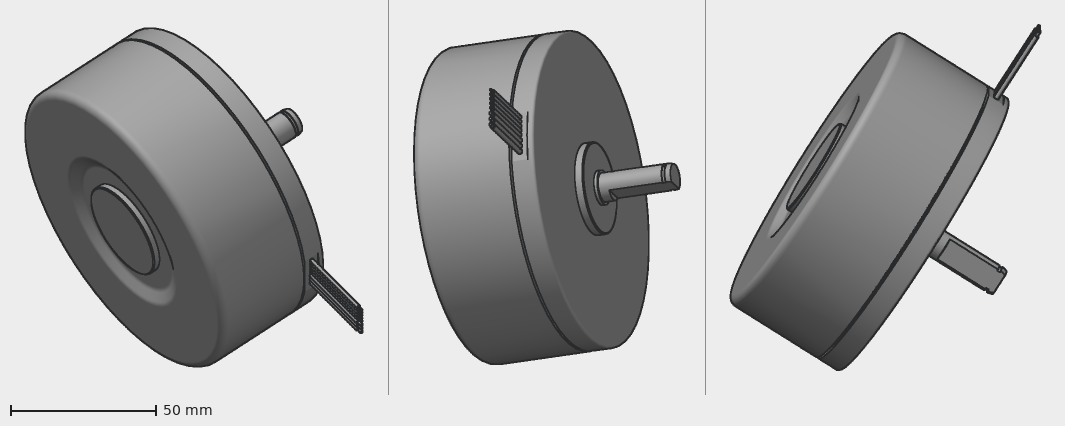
import cadquery as cq
import math


overall_width = 137.5

housing_radius = 55.3
housing_length = 45.1
front_fillet = 2.9
back_fillet = 1.0
split_start = 36.0
split_end = 36.8
split_depth = 2.9

recess_mouth_radius = 29.3
recess_floor_radius = 24.9
recess_depth = 2.6
recess_blend = 3.0
disc_radius = 17.5
disc_chamfer = 0.4

pilot_radius = 16.1
pilot_end = 48.3
pilot_chamfer = 0.4
collar_radius = 6.0
collar_end = 49.5

shaft_radius = 5.1
shaft_end = 76.0
tip_chamfer_length = 1.4
tip_chamfer_depth = 0.4
ring_groove_start = 72.9
ring_groove_end = 74.0
ring_groove_depth = 0.4
flat_start = 53.2
flat_offset = 3.0

exit_flat_x = 54.6
exit_flat_end = 42.8

wire_root_x = 50.9
wire_end_x = 80.5
conductor_end_x = overall_width - housing_radius
wire_y = 39.9
thin_wire_count = 5
thin_wire_top_z = 7.3
thin_wire_pitch = 1.6
thin_wire_diameter = 1.4
thin_conductor_diameter = 0.7
thick_wire_count = 3
thick_wire_top_z = -1.4
thick_wire_pitch = 2.0
thick_wire_diameter = 1.8
thick_conductor_diameter = 1.1


def cylinder_y(radius, start, end):
    """Cylinder on the motor axis from Y = start to Y = end."""
    return cq.Workplane("XZ", origin=(0, start, 0)).circle(radius).extrude(start - end)


def ring_groove(outer_radius, depth, start, end):
    """Ring of material to remove from a round surface."""
    return cylinder_y(outer_radius + depth, start, end).cut(cylinder_y(outer_radius - depth, start, end))


def make_recess():
    """Annular tool for the front recess: conical wall, blended at its mouth and floor."""
    wall_angle = math.atan2(recess_depth, recess_mouth_radius - recess_floor_radius)
    half_angle = wall_angle / 2
    tangent = recess_blend * math.tan(half_angle)
    along_r = tangent * math.cos(wall_angle)
    along_y = tangent * math.sin(wall_angle)
    mid_r = recess_blend * math.sin(half_angle)
    mid_y = recess_blend * (1 - math.cos(half_angle))
    mouth_r = recess_mouth_radius + tangent
    floor_r = recess_floor_radius - tangent
    return (
        cq.Workplane("XY")
        .moveTo(disc_radius, 0)
        .lineTo(mouth_r, 0)
        .threePointArc((mouth_r - mid_r, mid_y), (recess_mouth_radius - along_r, along_y))
        .lineTo(recess_floor_radius + along_r, recess_depth - along_y)
        .threePointArc((floor_r + mid_r, recess_depth - mid_y), (floor_r, recess_depth))
        .lineTo(disc_radius, recess_depth)
        .close()
        .revolve(360, (0, 0, 0), (0, 1, 0))
    )


def make_housing():
    housing = cylinder_y(housing_radius, 0, housing_length)
    housing = housing.faces("<Y").edges().fillet(front_fillet)
    housing = housing.faces(">Y").edges().fillet(back_fillet)
    housing = housing.cut(ring_groove(housing_radius, split_depth, split_start, split_end))
    exit_flat = cq.Workplane("XY", origin=(exit_flat_x, split_end, 0)).box(
        housing_radius, exit_flat_end - split_end, 2 * housing_radius, centered=(False, False, True)
    )
    housing = housing.cut(exit_flat).cut(make_recess())
    return housing.faces("<Y").edges(cq.selectors.RadiusNthSelector(0)).chamfer(disc_chamfer)


def make_shaft():
    shaft = cylinder_y(shaft_radius, housing_length, shaft_end)
    shaft = shaft.faces(">Y").edges().chamfer(tip_chamfer_length, tip_chamfer_depth)
    shaft = shaft.cut(ring_groove(shaft_radius, ring_groove_depth, ring_groove_start, ring_groove_end))
    flat_cut = cq.Workplane("XY", origin=(0, flat_start, -flat_offset - shaft_radius)).box(
        2 * shaft_radius, shaft_end - flat_start, shaft_radius, centered=(True, False, False)
    )
    return shaft.cut(flat_cut)


def make_back():
    pilot = cylinder_y(pilot_radius, housing_length, pilot_end).faces(">Y").edges().chamfer(pilot_chamfer)
    return pilot.union(cylinder_y(collar_radius, housing_length, collar_end)).union(make_shaft())


def make_wire(z, wire_diameter, conductor_diameter):
    """Insulated wire along +X with a bare conductor at its end."""
    root = cq.Workplane("YZ", origin=(wire_root_x, wire_y, z))
    insulation = root.circle(wire_diameter / 2).extrude(wire_end_x - wire_root_x)
    conductor = root.circle(conductor_diameter / 2).extrude(conductor_end_x - wire_root_x)
    return insulation.union(conductor)


def make_wire_row(count, top_z, pitch, wire_diameter, conductor_diameter):
    """Evenly spaced parallel wires, the first one at Z = top_z and the rest below it."""
    wires = cq.Workplane("XY")
    for i in range(count):
        wires = wires.add(make_wire(top_z - i * pitch, wire_diameter, conductor_diameter))
    return wires.combine()


thin_wires = make_wire_row(
    thin_wire_count, thin_wire_top_z, thin_wire_pitch, thin_wire_diameter, thin_conductor_diameter
)
thick_wires = make_wire_row(
    thick_wire_count, thick_wire_top_z, thick_wire_pitch, thick_wire_diameter, thick_conductor_diameter
)

result = make_housing().union(make_back()).union(thin_wires).union(thick_wires)